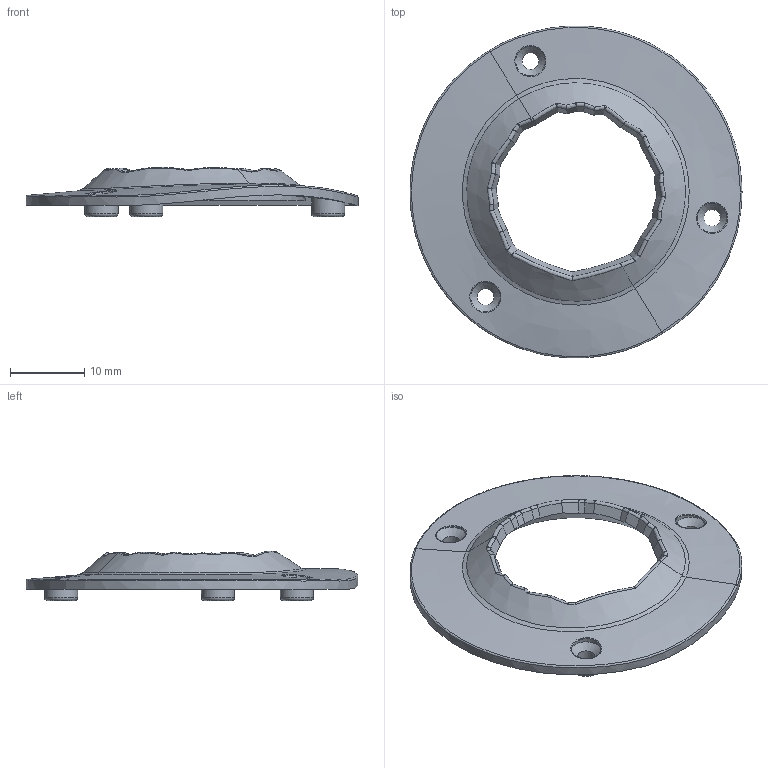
import cadquery as cq
import math

OUTER_RADIUS = 22.36
FLANGE_THICKNESS = 1.35
FLANGE_BASE_RISE = 0.65
RIM_FILLET = 0.22
FLANGE_OVERLAP = 0.7

RADIAL_STEPS = 6
ANGULAR_STEPS = 36
SURFACE_TOLERANCE = 0.005
SURFACE_MIN_DEGREE = 3
SURFACE_MAX_DEGREE = 5
CUT_MARGIN = 1.0
TRIM_HEIGHT = 10.0

SHORTEST_LONG_EDGE = 1.9
EDGE_DROP = 0.1
DOME_BASE_TOLERANCE = 0.15
EXACT_TOLERANCE = 0.01

WAVE_ANGLE = -58.5
RIM_WAVE_HEIGHT = 1.43
RIM_WAVE_HALF_WIDTH = 56.0
DOME_WAVE_HEIGHT = 0.85
DOME_WAVE_HALF_WIDTH = 110.0

DOME_RADIUS = 14.95
DOME_BASE_Z = FLANGE_THICKNESS + FLANGE_BASE_RISE
DOME_BASE_SLOPE = 0.932
DOME_FLATTENING = 0.013
DOME_CROWN_RADIUS = 11.8
DOME_PEAK_RADIUS = 9.5
DOME_OVERLAP = 0.3
DOME_FOOT_RADIUS = 13.4
DOME_FOOT_Z = FLANGE_BASE_RISE
DOME_INNER_SLOPE = 1.02
DOME_FLANGE_FILLET = 1.0

BOSS_COUNT = 3
BOSS_CIRCLE_RADIUS = 18.66
BOSS_FIRST_ANGLE = -10.8
BOSS_DIAMETER = 4.46
BOSS_BOTTOM_Z = -1.5
BOSS_FILLET = 0.4
BOSS_OVERLAP = 0.5
SCREW_HOLE_DIAMETER = 2.25
SCREW_HEAD_DIAMETER = 4.0
HEAD_SEAT_Z = 1.4
HEAD_EDGE_FILLET = 0.1
HEAD_CONE_DEPTH = (SCREW_HEAD_DIAMETER - SCREW_HOLE_DIAMETER) / 2

BORE_NARROW_Z = 3.1
BORE_LIP_Z = 4.9
BORE_LIP_SCALE = 1.085
BORE_BOTTOM_Z = -2.0
BORE_TOP_Z = 8.0
BORE_LIP_FILLET = 0.35
LIP_LOWEST_Z = 4.0
LIP_LARGEST_RADIUS = 12.5
BORE_OUTLINE = [
    (-0.47, -10.67), (-7.88, -7.73), (-8.47, -7.14), (-9.14, -4.87), (-10.40, -2.26), (-10.27, -1.50),
    (-10.66, 0.44), (-10.03, 2.21), (-10.15, 3.55), (-8.05, 6.41), (-7.54, 7.59), (-7.04, 8.27),
    (-5.19, 8.86), (-2.41, 10.79), (-1.14, 10.32), (0.03, 10.74), (1.04, 10.74), (2.31, 10.15),
    (3.65, 10.49), (5.93, 8.43), (7.95, 7.42), (8.42, 6.84), (8.79, 5.49), (10.61, 2.29),
    (10.39, 1.20), (10.84, -0.57), (10.17, -2.34), (10.30, -3.43), (8.54, -5.88), (7.74, -7.90),
    (7.27, -8.45),
]


def wave_height(radius, angle):
    """Local lift of the flange at a polar position, angle in degrees."""
    share = (radius - DOME_RADIUS) / (OUTER_RADIUS - DOME_RADIUS)
    half_width = DOME_WAVE_HALF_WIDTH + share * (RIM_WAVE_HALF_WIDTH - DOME_WAVE_HALF_WIDTH)
    height = DOME_WAVE_HEIGHT + share * (RIM_WAVE_HEIGHT - DOME_WAVE_HEIGHT)
    offset = abs((angle - WAVE_ANGLE + 180) % 360 - 180)
    if offset >= half_width:
        return 0.0
    return height * math.cos(math.radians(90 * offset / half_width)) ** 2


def polar_point(radius, angle, z):
    return cq.Vector(radius * math.cos(math.radians(angle)), radius * math.sin(math.radians(angle)), z)


def flange_underside_height(radius, angle):
    rise = FLANGE_BASE_RISE * (OUTER_RADIUS - radius) / (OUTER_RADIUS - DOME_RADIUS)
    return rise + wave_height(radius, angle)


def dome_height(radius, angle):
    """Outer surface of the dome: a flattening slope plus the fading wave."""
    inset = DOME_RADIUS - radius
    fade = max(0.0, (radius - DOME_CROWN_RADIUS) / (DOME_RADIUS - DOME_CROWN_RADIUS))
    lift = fade * wave_height(DOME_RADIUS, angle)
    return DOME_BASE_Z + DOME_BASE_SLOPE * inset - DOME_FLATTENING * inset**2 + lift


def wavy_ring(height_at, inner_radius, outer_radius, thickness):
    """Ring on a spline surface, thickened straight up (or down if negative)."""
    ring = cq.Workplane("XY")
    for start_angle in (WAVE_ANGLE, WAVE_ANGLE + 180):
        grid = []
        for i in range(RADIAL_STEPS + 1):
            radius = inner_radius + (outer_radius - inner_radius) * i / RADIAL_STEPS
            angles = [start_angle + 180 * j / ANGULAR_STEPS for j in range(ANGULAR_STEPS + 1)]
            grid.append([polar_point(radius, angle, height_at(radius, angle)) for angle in angles])
        surface = cq.Face.makeSplineApprox(
            grid, tol=SURFACE_TOLERANCE, minDeg=SURFACE_MIN_DEGREE, maxDeg=SURFACE_MAX_DEGREE
        )
        half = cq.Solid.extrudeLinear(surface, cq.Vector(0, 0, thickness))
        ring = ring.add(half)
    return ring.combine()


def make_flange():
    inner = DOME_RADIUS - FLANGE_OVERLAP
    ring = wavy_ring(flange_underside_height, inner, OUTER_RADIUS + CUT_MARGIN, FLANGE_THICKNESS)
    trim = cq.Workplane("XY").workplane(offset=-TRIM_HEIGHT).circle(OUTER_RADIUS).extrude(2 * TRIM_HEIGHT)
    return ring.intersect(trim)


def make_dome():
    outer = DOME_RADIUS + DOME_OVERLAP
    skin = wavy_ring(dome_height, DOME_PEAK_RADIUS - CUT_MARGIN, outer + CUT_MARGIN, -TRIM_HEIGHT)
    inner_peak_z = DOME_FOOT_Z + DOME_INNER_SLOPE * (DOME_FOOT_RADIUS - DOME_PEAK_RADIUS)
    envelope = (
        cq.Workplane("XZ")
        .moveTo(DOME_FOOT_RADIUS, DOME_FOOT_Z)
        .lineTo(outer, DOME_FOOT_Z)
        .lineTo(outer, TRIM_HEIGHT)
        .lineTo(DOME_PEAK_RADIUS, TRIM_HEIGHT)
        .lineTo(DOME_PEAK_RADIUS, inner_peak_z)
        .close()
        .revolve(360, (0, 0, 0), (0, 1, 0))
    )
    return skin.intersect(envelope)


def bore_scale(z):
    return 1 + (BORE_LIP_SCALE - 1) * (z - BORE_NARROW_Z) / (BORE_LIP_Z - BORE_NARROW_Z)


def bore_wire(z):
    scale = bore_scale(z)
    points = [cq.Vector(x * scale, y * scale, z) for x, y in BORE_OUTLINE]
    return cq.Wire.makePolygon(points, close=True)


def make_bore():
    lower = bore_wire(BORE_BOTTOM_Z)
    upper = bore_wire(BORE_TOP_Z)
    return cq.Workplane(obj=cq.Solid.makeLoft([lower, upper], True))


def screw_angle(index):
    return BOSS_FIRST_ANGLE + 360 * index / BOSS_COUNT


def add_boss(shape, angle):
    underside = flange_underside_height(BOSS_CIRCLE_RADIUS, angle)
    height = underside + BOSS_OVERLAP - BOSS_BOTTOM_Z
    boss = cq.Workplane("XY").circle(BOSS_DIAMETER / 2).extrude(height)
    boss = boss.faces("<Z").edges().fillet(BOSS_FILLET)
    return shape.union(boss.translate(polar_point(BOSS_CIRCLE_RADIUS, angle, BOSS_BOTTOM_Z)))


def cut_screw_hole(shape, angle):
    """Through hole with a countersink and a straight recess for the screw head."""
    hole_radius = SCREW_HOLE_DIAMETER / 2
    head_radius = SCREW_HEAD_DIAMETER / 2
    surface_z = flange_underside_height(BOSS_CIRCLE_RADIUS, angle) + FLANGE_THICKNESS
    cutter = (
        cq.Workplane("XZ")
        .moveTo(0, BOSS_BOTTOM_Z - CUT_MARGIN)
        .lineTo(hole_radius, BOSS_BOTTOM_Z - CUT_MARGIN)
        .lineTo(hole_radius, HEAD_SEAT_Z - HEAD_CONE_DEPTH)
        .lineTo(head_radius, HEAD_SEAT_Z)
        .lineTo(head_radius, surface_z + CUT_MARGIN)
        .lineTo(0, surface_z + CUT_MARGIN)
        .close()
        .revolve(360, (0, 0, 0), (0, 1, 0))
    )
    return shape.cut(cutter.translate(polar_point(BOSS_CIRCLE_RADIUS, angle, 0)))


def round_recess_edge(shape, angle):
    """Soften the edge where a head recess meets the flange."""
    edges = []
    for edge in shape.edges().vals():
        middle = edge.positionAt(0.5)
        from_axis = (middle - polar_point(BOSS_CIRCLE_RADIUS, angle, middle.z)).Length
        on_wall = abs(from_axis - SCREW_HEAD_DIAMETER / 2) < EXACT_TOLERANCE
        if on_wall and edge.geomType() == "BSPLINE" and middle.z > HEAD_SEAT_Z:
            edges.append(edge)
    return round_edges(shape, edges, HEAD_EDGE_FILLET)


def edges_near(shape, radius, lowest_z, tolerance):
    """Edges whose middle lies at the given radius, above the given height."""
    found = []
    for edge in shape.edges().vals():
        middle = edge.positionAt(0.5)
        on_radius = abs(math.hypot(middle.x, middle.y) - radius) < tolerance
        if on_radius and middle.z > lowest_z and edge.Length() > SHORTEST_LONG_EDGE:
            found.append(edge)
    return found


def round_edges(shape, edges, radius):
    return cq.Workplane(obj=shape.solids().val().fillet(radius, edges))


def cut_bore(shape):
    """Cut the faceted bore and round its upper lip."""
    bored = shape.cut(make_bore())
    lip = []
    for edge in bored.edges().vals():
        lowest = min(edge.positionAt(share).z for share in (0, 0.5, 1))
        middle = edge.positionAt(0.5)
        if lowest > LIP_LOWEST_Z and math.hypot(middle.x, middle.y) < LIP_LARGEST_RADIUS:
            lip.append(edge)
    return round_edges(bored, lip, BORE_LIP_FILLET)


body = make_flange().union(make_dome())
dome_base = edges_near(body, DOME_RADIUS, DOME_BASE_Z - EDGE_DROP, DOME_BASE_TOLERANCE)
body = round_edges(body, dome_base, DOME_FLANGE_FILLET)
rim = edges_near(body, OUTER_RADIUS, FLANGE_THICKNESS - EDGE_DROP, EXACT_TOLERANCE)
body = round_edges(body, rim, RIM_FILLET)
body = cut_bore(body)
for index in range(BOSS_COUNT):
    body = add_boss(body, screw_angle(index))
    body = cut_screw_hole(body, screw_angle(index))
    body = round_recess_edge(body, screw_angle(index))
result = body